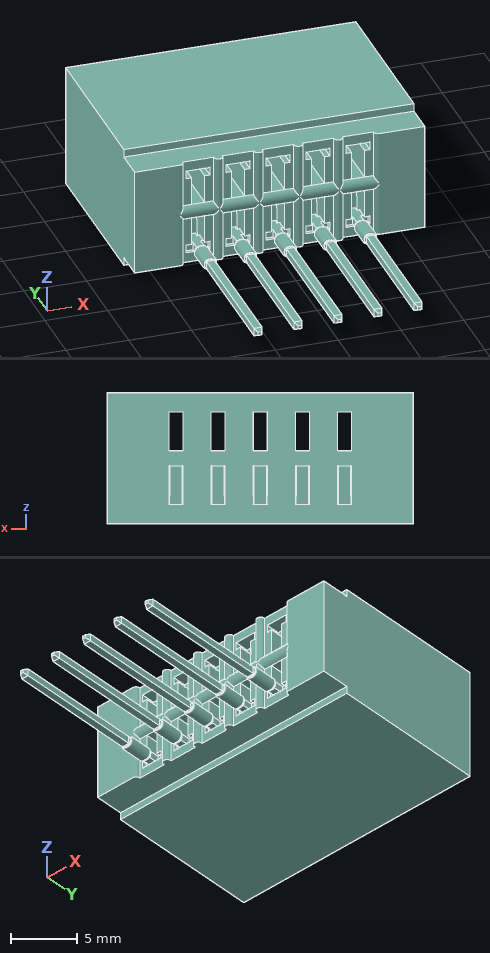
import cadquery as cq


housing_width = 23.1
housing_height = 9.9
total_length = 30.6
housing_depth = 16.4

nose_length = 2.57
nose_height = 8.63

contact_count = 5
pitch = 3.18
recess_depth = 0.4
divider_width = 0.73
crossbar_height = 1.15

slot_width = 1.05
slot_top = 3.5
pin_size = 0.65
notch_width = 1.9
notch_back = 1.62

pin_z = slot_top - pin_size / 2
pin_length = total_length - housing_depth
tip_length = 0.37
tip_inset = 0.18
collar_width = 1.13
collar_height = 1.05
collar_length = 2.57
collar_gap = 0.05
collar_bevel = 0.15
sleeve_length = 2.08
sleeve_end_radius = 0.12
collar_corner_radius = 0.5
barb_width = 1.77
barb_setback = 0.3
blade_width = 0.95
blade_thickness = 0.3
blade_start = 1.95
blade_run = 0.3

row_length = contact_count * pitch
cell_positions = [(i - (contact_count - 1) / 2) * pitch for i in range(contact_count)]
divider_positions = [i * pitch - row_length / 2 for i in range(contact_count + 1)]


def block(width, depth, height, x, y_front, z):
    """Box centred on x and z, reaching back from y_front."""
    return cq.Workplane("XY").box(width, depth, height).translate((x, y_front + depth / 2, z))


def rounded_bar(width, crest, depth, length):
    """Bar along Z, flat-sided at the back, with an arched front that rises by the crest to Y = 0."""
    half_width = width / 2
    return (
        cq.Workplane("XY", origin=(0, 0, -length / 2))
        .moveTo(-half_width, depth)
        .lineTo(-half_width, crest)
        .threePointArc((0, 0), (half_width, crest))
        .lineTo(half_width, depth)
        .close()
        .extrude(length)
    )


def contact_passage(x):
    """Tall through slot of one cell, with a wider notch at its top and bottom ends."""
    passage = block(slot_width, housing_depth, 2 * slot_top, x, 0, 0)
    for notch_z in (pin_z, -pin_z):
        passage = passage.union(block(notch_width, notch_back, pin_size, x, 0, notch_z))
    return passage


def make_housing():
    nose = block(housing_width, nose_length, nose_height, 0, 0, 0)
    main = block(housing_width, housing_depth - nose_length, housing_height, 0, nose_length, 0)
    housing = nose.union(main)
    housing = housing.cut(block(row_length, recess_depth, nose_height, 0, 0, 0))
    for x in cell_positions:
        housing = housing.cut(contact_passage(x))
    divider = rounded_bar(divider_width, divider_width / 2, recess_depth, nose_height)
    for x in divider_positions:
        housing = housing.union(divider.translate((x, 0, 0)))
    crossbar = rounded_bar(crossbar_height, recess_depth, housing_depth, row_length)
    return housing.union(crossbar.rotate((0, 0, 0), (0, 1, 0), 90))


def collar_sleeve(inset, length):
    """Rounded bar along Y, centred on the collar and set in from its sides by the inset."""
    front = -collar_gap - (collar_length + length) / 2
    sleeve = block(collar_width - 2 * inset, length, collar_height - 2 * inset, 0, front, -pin_z)
    return sleeve.edges("|Y").fillet(collar_corner_radius - inset)


def pin_collar():
    """Thickened part in front of the nose: an eased sleeve over a longer core with bevelled ends."""
    sleeve = collar_sleeve(0, sleeve_length).faces("<Y or >Y").edges().fillet(sleeve_end_radius)
    core = collar_sleeve(sleeve_end_radius, collar_length).faces("<Y or >Y").chamfer(collar_bevel)
    return sleeve.union(core)


def pin_blade():
    """Flat tail that leans back as it rises from the pin to the top of the lower slot."""
    base_z = -pin_z - pin_size / 2
    return (
        cq.Workplane("YZ", origin=(-blade_width / 2, 0, 0))
        .polyline([
            (blade_start, base_z),
            (blade_start + blade_run, -crossbar_height / 2),
            (blade_start + blade_run + blade_thickness, -crossbar_height / 2),
            (blade_start + blade_thickness, base_z),
        ])
        .close()
        .extrude(blade_width)
    )


def make_pin(x):
    shank_front = tip_length - pin_length
    tip_size = pin_size - 2 * tip_inset
    shank_length = blade_start + blade_thickness - shank_front
    shank = block(pin_size, shank_length, pin_size, 0, shank_front, -pin_z)
    tip = (
        cq.Workplane("XZ", origin=(0, shank_front, -pin_z))
        .rect(pin_size, pin_size)
        .workplane(offset=tip_length)
        .rect(tip_size, tip_size)
        .loft()
    )
    barb_front = recess_depth + barb_setback
    barb = block(barb_width, notch_back - barb_front, pin_size, 0, barb_front, -pin_z)
    pin = shank.union(tip).union(pin_collar()).union(barb).union(pin_blade())
    return pin.translate((x, 0, 0))


housing = make_housing()
pins = [make_pin(x) for x in cell_positions]
result = cq.Compound.makeCompound([housing.solids().val(), *[pin.solids().val() for pin in pins]])